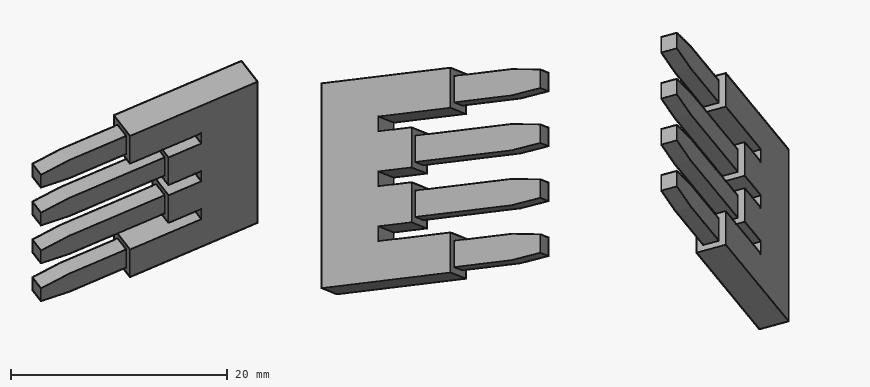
import math

import cadquery as cq


thickness = 3.0
finger_pitch = 5.2
finger_height = 3.8
spine_depth = 6.0
outer_finger_depth = 13.6
inner_finger_depth = 9.5
finger_depths = [outer_finger_depth, inner_finger_depth, inner_finger_depth, outer_finger_depth]
finger_count = len(finger_depths)
body_height = (finger_count - 1) * finger_pitch + finger_height

overall_depth = 22.68
pin_width = 1.6
pin_height = 2.5
taper_angle = 7.0
taper_length = 3.0

back_y = overall_depth / 2
spine_front_y = back_y - spine_depth
tip_y = -overall_depth / 2
taper_start_y = tip_y + taper_length


def block(y_front, y_back, height, z_center):
    """Full-thickness block between two Y positions."""
    depth = y_back - y_front
    return cq.Workplane("XY").box(thickness, depth, height).translate((0, y_front + depth / 2, z_center))


def pin(z_center):
    """Flat-sided pin rooted in the spine, tapering in height toward its tip."""
    half_pin = pin_height / 2
    half_tip = half_pin - taper_length * math.tan(math.radians(taper_angle))
    outline = [
        (spine_front_y, -half_pin),
        (taper_start_y, -half_pin),
        (tip_y, -half_tip),
        (tip_y, half_tip),
        (taper_start_y, half_pin),
        (spine_front_y, half_pin),
    ]
    return (
        cq.Workplane("YZ")
        .polyline(outline)
        .close()
        .extrude(pin_width / 2, both=True)
        .translate((0, 0, z_center))
    )


result = block(spine_front_y, back_y, body_height, 0)
for index, finger_depth in enumerate(finger_depths):
    finger_z = (index - (finger_count - 1) / 2) * finger_pitch
    finger = block(back_y - finger_depth, back_y, finger_height, finger_z)
    result = result.union(finger).union(pin(finger_z))
result = result.clean()